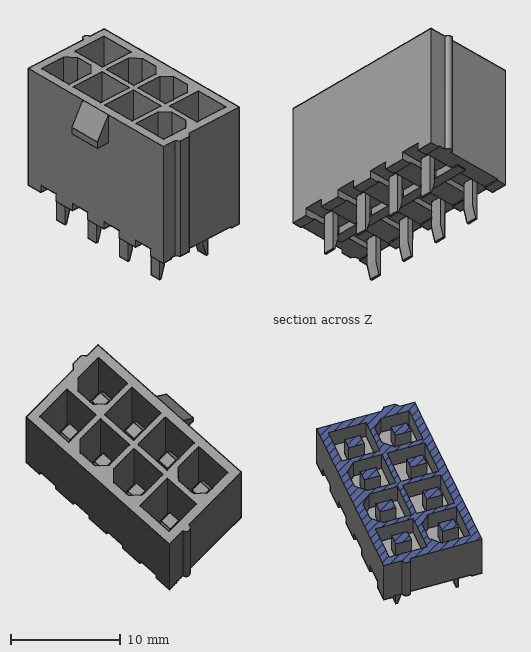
import cadquery as cq


length = 18.0
width = 9.6
height = 12.8
foot_height = 0.16
foot_width = 1.03
middle_foot_inset = 0.9

pitch = 4.2
columns = 4
cavity_size = 3.65
cavity_depth = 10.0
key_chamfer = 0.9
keyed_front_columns = (0, 3)
keyed_back_columns = (1, 2)

latch_width = 3.4
latch_reach = 1.4
latch_ramp_height = 2.35
latch_height = 3.05

rib_reach = 0.4
round_rib_y = 2.6
key_rib_y = -2.45
key_rib_base = 1.8
key_rib_tip = 1.1

pin_thickness = 1.13
pin_length_below = 3.5
blade_row_spacing = 5.5
blade_center_y = -0.2
blade_width = 0.6
blade_tip_width = 0.2
blade_taper_length = 1.3
post_width = 1.56
post_recess = 5.0
post_taper_width = 0.43
post_taper_length = 0.66

notch_width = 2.0
notch_height = 0.8

cavity_floor = height - cavity_depth
post_top = height - post_recess
column_x = [(i - (columns - 1) / 2) * pitch for i in range(columns)]


def box(size_x, size_y, size_z, x, y, z):
    """Box centred on (x, y) and standing on z."""
    return cq.Workplane("XY").box(size_x, size_y, size_z, centered=(True, True, False)).translate((x, y, z))


def make_housing():
    """Block standing on two full-length outer feet and a middle foot set in from both ends."""
    housing = box(length, width, height - foot_height, 0, 0, foot_height)
    outer_foot_y = (width - foot_width) / 2
    for y in (-outer_foot_y, outer_foot_y):
        housing = housing.union(box(length, foot_width, foot_height, 0, y, 0))
    middle_foot_length = length - 2 * middle_foot_inset
    return housing.union(box(middle_foot_length, foot_width, foot_height, 0, 0, 0))


def make_cavity(x, y, keyed):
    """Square cavity, with its two +Y corners cut off when keyed."""
    cavity = box(cavity_size, cavity_size, cavity_depth, x, y, cavity_floor)
    if keyed:
        cavity = cavity.edges("|Z and >Y").chamfer(key_chamfer)
    return cavity


def make_notch(x, side):
    """Notch from a long wall (side -1 front, +1 back) inward to the middle foot."""
    notch_depth = (width - foot_width) / 2
    y = side * (width - notch_depth) / 2
    return box(notch_width, notch_depth, notch_height, x, y, 0)


def make_pin(x, side):
    """Flat pin whose outer face is straight from the blade tip up to the post taper."""
    outer = blade_center_y + side * (blade_row_spacing + blade_width) / 2
    blade_inner = outer - side * blade_width
    post_inner = outer - side * post_width
    profile = [
        (outer, -pin_length_below),
        (outer, post_top - post_taper_length),
        (outer - side * post_taper_width, post_top),
        (post_inner, post_top),
        (post_inner, cavity_floor),
        (blade_inner, cavity_floor),
        (blade_inner, blade_taper_length - pin_length_below),
        (outer - side * blade_tip_width, -pin_length_below),
    ]
    pin = cq.Workplane("YZ").polyline(profile).close().extrude(pin_thickness / 2, both=True)
    return pin.translate((x, 0, 0))


def make_latch():
    """Wedge on the front wall that ramps outward from the top edge."""
    front = -width / 2
    profile = [
        (front, height),
        (front - latch_reach, height - latch_ramp_height),
        (front - latch_reach, height - latch_height),
        (front, height - latch_height),
    ]
    return cq.Workplane("YZ").polyline(profile).close().extrude(latch_width / 2, both=True)


def make_round_rib():
    """Half-round rib on the -X wall."""
    rib = cq.Workplane("XY", origin=(-length / 2, round_rib_y, foot_height)).circle(rib_reach)
    return rib.extrude(height - foot_height)


def make_key_rib():
    """Trapezoidal rib on the +X wall."""
    end = length / 2
    profile = [
        (end, key_rib_y - key_rib_base / 2),
        (end + rib_reach, key_rib_y - key_rib_tip / 2),
        (end + rib_reach, key_rib_y + key_rib_tip / 2),
        (end, key_rib_y + key_rib_base / 2),
    ]
    rib = cq.Workplane("XY", origin=(0, 0, foot_height)).polyline(profile).close()
    return rib.extrude(height - foot_height)


result = make_housing().union(make_latch()).union(make_round_rib()).union(make_key_rib())

for side, keyed_columns in ((-1, keyed_front_columns), (1, keyed_back_columns)):
    for column, x in enumerate(column_x):
        result = result.cut(make_cavity(x, side * pitch / 2, column in keyed_columns))
        result = result.cut(make_notch(x, side))
        result = result.union(make_pin(x, side))